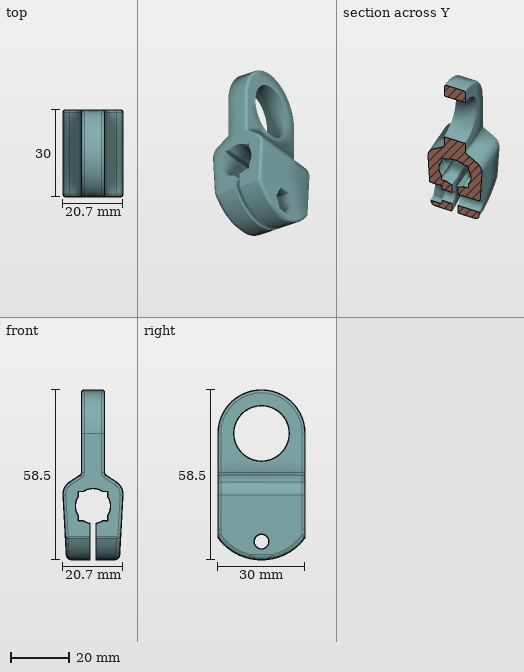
import cadquery as cq
import math

WIDTH = 30.0
EDGE_RADIUS = 1.0
RIGHT_UNDERSIDE_RADIUS = 1.5

EYE_CENTER_Z = 25.0
EYE_RADIUS = WIDTH / 2
EYE_HOLE_DIAMETER = 19.0
STEM_THICKNESS = 8.0

STEM_ROOT_Z = 10.95
SHOULDER_HALF_WIDTH = 10.5
SHOULDER_Z = 6.65
BOTTOM_RADIUS = 18.5
BOTTOM_HALF_WIDTH = 9.12
ROOT_FILLET = 1.0
SHOULDER_FILLET = 5.0
BOTTOM_FILLET = 2.0

BORE_DIAMETER = 12.0
SQUARE_SIDE = 10.0
SLOT_WIDTH = 2.0

BOLT_Z = -12.2
BOLT_DIAMETER = 5.0
NUT_SIDES = 6
NUT_ACROSS_FLATS = 8.2
NUT_FLOOR_X = -5.0

EYE_TOP_Z = EYE_CENTER_Z + EYE_RADIUS
CUTTER_HALF_LENGTH = 1.2 * SHOULDER_HALF_WIDTH


def extruded_profile():
    """Stem and tapered clamp body as one profile extruded along Y."""
    stem_half = STEM_THICKNESS / 2
    right_half = [
        (stem_half, EYE_TOP_Z),
        (stem_half, STEM_ROOT_Z),
        (SHOULDER_HALF_WIDTH, SHOULDER_Z),
        (BOTTOM_HALF_WIDTH, -BOTTOM_RADIUS),
    ]
    left_half = [(-x, z) for x, z in reversed(right_half)]
    profile = cq.Workplane("XZ").polyline(right_half + left_half).close()
    body = profile.extrude(WIDTH / 2, both=True)

    corner_fillets = [
        (stem_half, STEM_ROOT_Z, ROOT_FILLET),
        (SHOULDER_HALF_WIDTH, SHOULDER_Z, SHOULDER_FILLET),
        (BOTTOM_HALF_WIDTH, -BOTTOM_RADIUS, BOTTOM_FILLET),
    ]
    for x, z, radius in corner_fillets:
        for side in (-1, 1):
            corner = cq.selectors.NearestToPointSelector((side * x, 0, z))
            body = body.edges("|Y").edges(corner).fillet(radius)
    return body


def side_outline():
    """Outline seen along X: round eye on top, straight sides, curved underside."""
    half = WIDTH / 2
    underside_z = -math.sqrt(BOTTOM_RADIUS**2 - half**2)
    outline = (
        cq.Workplane("YZ")
        .moveTo(half, underside_z)
        .lineTo(half, EYE_CENTER_Z)
        .threePointArc((0, EYE_TOP_Z), (-half, EYE_CENTER_Z))
        .lineTo(-half, underside_z)
        .threePointArc((0, -BOTTOM_RADIUS), (half, underside_z))
        .close()
    )
    return outline.extrude(CUTTER_HALF_LENGTH, both=True)


def underside_rim(body, side):
    """Edges between the curved underside and the tapered face on one side (+1 or -1 along X)."""
    return body.edges("%ELLIPSE or %BSPLINE").filter(lambda edge: side * edge.Center().x > 0)


def rounded_body():
    """Body with its outer rims rounded; the underside rim is rounder on the +X side."""
    body = extruded_profile().intersect(side_outline())
    body = underside_rim(body, 1).fillet(RIGHT_UNDERSIDE_RADIUS)
    end_rims = body.faces("<Y or >Y").edges()
    return end_rims.add(underside_rim(body, -1)).fillet(EDGE_RADIUS)


def eye_hole():
    """Plain hole through the eye."""
    circle = cq.Workplane("YZ").center(0, EYE_CENTER_Z).circle(EYE_HOLE_DIAMETER / 2)
    return circle.extrude(STEM_THICKNESS, both=True)


def clamp_bore():
    """Round bore crossed by a square one, opened downwards by the clamping slot."""
    round_bore = cq.Workplane("XZ").circle(BORE_DIAMETER / 2).extrude(WIDTH, both=True)
    square_bore = cq.Workplane("XZ").rect(SQUARE_SIDE, SQUARE_SIDE).extrude(WIDTH, both=True)
    slot_depth = 2 * BOTTOM_RADIUS
    slot = cq.Workplane("XY").rect(SLOT_WIDTH, 2 * WIDTH).extrude(-slot_depth)
    return round_bore.union(square_bore).union(slot)


def bolt_hole():
    """Clamping bolt hole right through, with a hexagonal nut pocket from the -X side."""
    bolt_circle = cq.Workplane("YZ").center(0, BOLT_Z).circle(BOLT_DIAMETER / 2)
    bolt = bolt_circle.extrude(CUTTER_HALF_LENGTH, both=True)
    across_corners = NUT_ACROSS_FLATS / math.cos(math.pi / NUT_SIDES)
    nut = (
        cq.Workplane("YZ", origin=(NUT_FLOOR_X, 0, BOLT_Z))
        .polygon(NUT_SIDES, across_corners)
        .extrude(-CUTTER_HALF_LENGTH)
    )
    return bolt.union(nut)


result = rounded_body().cut(eye_hole()).cut(clamp_bore()).cut(bolt_hole())